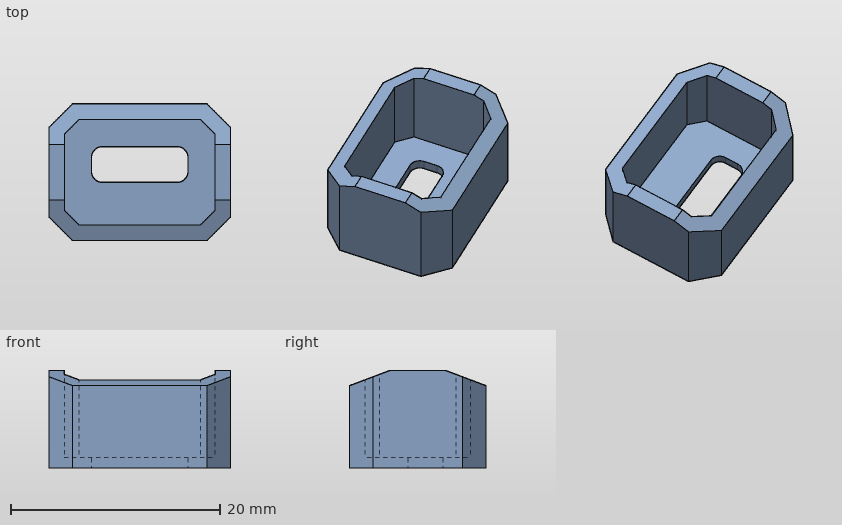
import cadquery as cq
import math

length = 17.4
width = 13.1
height = 9.36
corner_leg = 2.28

wall = 1.5
floor_thickness = 1.0

crest_width = 5.3
rim_drop = 1.47

slot_length = 9.2
slot_width = 3.38
slot_radius = 1.0
slot_offset_y = 0.74


def chamfered_block(size_x, size_y, size_z, leg, base_z):
    """Upright block with its four vertical edges cut at 45 degrees."""
    block = cq.Workplane("XY").workplane(offset=base_z).rect(size_x, size_y).extrude(size_z)
    return block.edges("|Z").chamfer(leg)


def rim_envelope():
    """Prism along X whose top falls away from the crest on both sides."""
    side_z = height - rim_drop
    outline = [
        (-width / 2, 0),
        (width / 2, 0),
        (width / 2, side_z),
        (crest_width / 2, height),
        (-crest_width / 2, height),
        (-width / 2, side_z),
    ]
    return cq.Workplane("YZ").polyline(outline).close().extrude(length / 2, both=True)


def cavity():
    """Open-top pocket that keeps an even wall all round, corners included."""
    inner_leg = corner_leg - wall * (2 - math.sqrt(2))
    return chamfered_block(
        length - 2 * wall, width - 2 * wall, height - floor_thickness, inner_leg, floor_thickness
    )


def floor_slot():
    """Rounded rectangular opening through the floor."""
    slot = cq.Workplane("XY").center(0, slot_offset_y).rect(slot_length, slot_width)
    return slot.extrude(floor_thickness).edges("|Z").fillet(slot_radius)


body = chamfered_block(length, width, height, corner_leg, 0).intersect(rim_envelope())
result = body.cut(cavity()).cut(floor_slot())